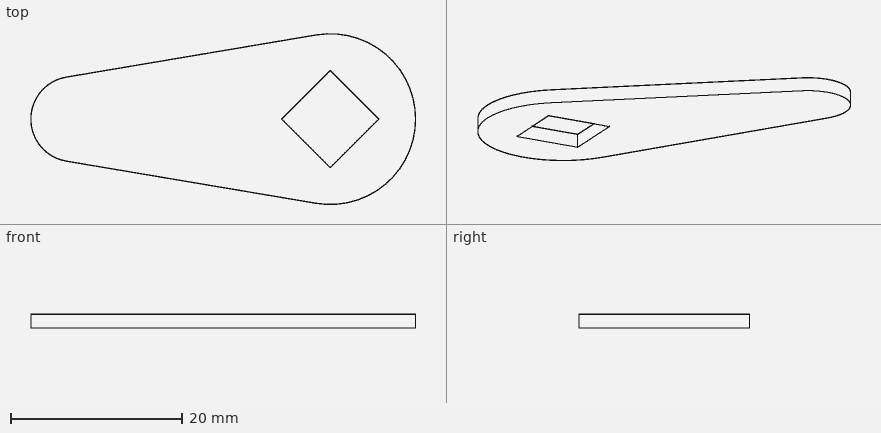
import cadquery as cq
import math

length = 45.0
thickness = 1.6
large_radius = 10.0
small_radius = large_radius / 2
square_side = 8.0

center_distance = length - large_radius - small_radius
small_center_x = -center_distance

flank_angle = math.asin((large_radius - small_radius) / center_distance)


def tangent_point(center_x, radius):
    """Point where the upper flank meets an end arc."""
    return (center_x - radius * math.sin(flank_angle), radius * math.cos(flank_angle))


def mirrored(point):
    """Reflect a point across the X axis."""
    return (point[0], -point[1])


def make_plate():
    """Tapered plate with a round large end and a round small end."""
    large_tangent = tangent_point(0, large_radius)
    small_tangent = tangent_point(small_center_x, small_radius)
    return (
        cq.Workplane("XY")
        .moveTo(*small_tangent)
        .lineTo(*large_tangent)
        .threePointArc((large_radius, 0), mirrored(large_tangent))
        .lineTo(*mirrored(small_tangent))
        .threePointArc((small_center_x - small_radius, 0), small_tangent)
        .close()
        .extrude(thickness)
    )


def make_square_hole():
    """Square through hole with its diagonals along X and Y."""
    return (
        cq.Workplane("XY")
        .rect(square_side, square_side)
        .extrude(thickness)
        .rotate((0, 0, 0), (0, 0, 1), 45)
    )


result = make_plate().cut(make_square_hole())